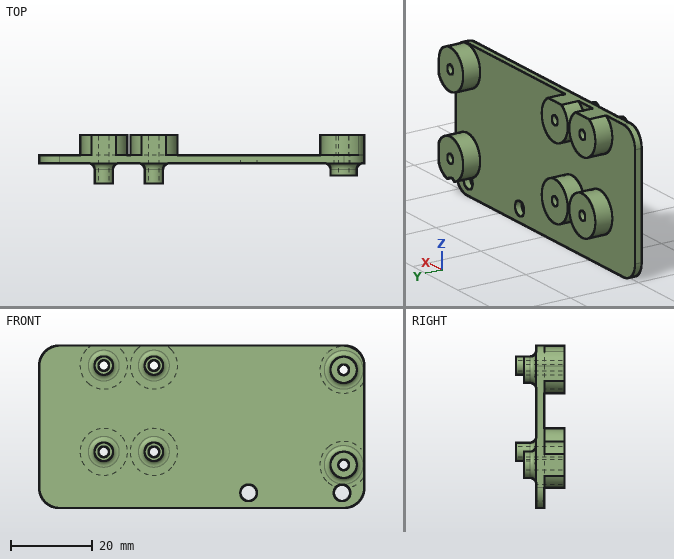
import cadquery as cq

PLATE_LENGTH = 80.0
PLATE_HEIGHT = 40.0
PLATE_THICKNESS = 2.0
CORNER_RADIUS = 5.0

TOTAL_DEPTH = 12.0
PAD_DIAMETER = 11.6
PAD_DEPTH = (TOTAL_DEPTH - PLATE_THICKNESS) / 2
BORE_DIAMETER = 2.6
FLARE_RADIUS = 1.5

SLIM_DIAMETER = 4.6
SLIM_LENGTH = TOTAL_DEPTH - PLATE_THICKNESS - PAD_DEPTH
SLIM_X = (15.9, 28.2)
SLIM_Z = (13.8, 35.0)

WIDE_DIAMETER = 6.5
WIDE_LENGTH = 3.0
WIDE_X = 74.9
WIDE_Z = (10.6, 34.0)

MOUNT_HOLE_DIAMETER = 4.0
MOUNT_HOLE_X = (51.5, 74.5)
MOUNT_HOLE_Z = 3.8

SLIM_POINTS = [(x, z) for x in SLIM_X for z in SLIM_Z]
WIDE_POINTS = [(WIDE_X, z) for z in WIDE_Z]
STANDOFF_POINTS = SLIM_POINTS + WIDE_POINTS
MOUNT_HOLE_POINTS = [(x, MOUNT_HOLE_Z) for x in MOUNT_HOLE_X]


def rounded_slab(y_start, depth):
    """Plate outline extruded toward +Y from y_start."""
    return (
        cq.Workplane("XY")
        .box(PLATE_LENGTH, depth, PLATE_HEIGHT, centered=False)
        .edges("|Y")
        .fillet(CORNER_RADIUS)
        .translate((0, y_start, 0))
    )


def cylinders(points, diameter, y_start, depth):
    """Cylinders extruded toward +Y from y_start at the given (x, z) points."""
    return (
        cq.Workplane("XZ", origin=(0, y_start, 0))
        .pushPoints(points)
        .circle(diameter / 2)
        .extrude(-depth)
    )


def standoff(point, diameter, length):
    """Pin pointing toward -Y whose base flares out concavely to the plate."""
    x, z = point
    radius = diameter / 2
    base_radius = radius + FLARE_RADIUS
    arc_middle = FLARE_RADIUS * (1 - 0.5 ** 0.5)
    return (
        cq.Workplane("XY")
        .moveTo(0, -length)
        .lineTo(radius, -length)
        .lineTo(radius, -FLARE_RADIUS)
        .threePointArc((radius + arc_middle, -arc_middle), (base_radius, 0))
        .lineTo(0, 0)
        .close()
        .revolve(360, (0, 0), (0, 1))
        .translate((x, 0, z))
    )


pads = cylinders(STANDOFF_POINTS, PAD_DIAMETER, PLATE_THICKNESS, PAD_DEPTH)
pads = pads.intersect(rounded_slab(PLATE_THICKNESS, PAD_DEPTH))

body = rounded_slab(0, PLATE_THICKNESS).union(pads)
for slim_point in SLIM_POINTS:
    body = body.union(standoff(slim_point, SLIM_DIAMETER, SLIM_LENGTH))
for wide_point in WIDE_POINTS:
    body = body.union(standoff(wide_point, WIDE_DIAMETER, WIDE_LENGTH))

body = body.cut(cylinders(STANDOFF_POINTS, BORE_DIAMETER, -SLIM_LENGTH, TOTAL_DEPTH))
body = body.cut(cylinders(MOUNT_HOLE_POINTS, MOUNT_HOLE_DIAMETER, -SLIM_LENGTH, TOTAL_DEPTH))

result = body